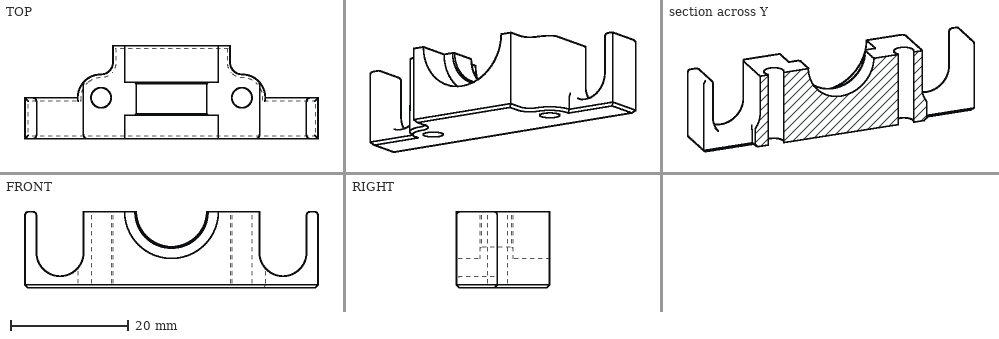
import cadquery as cq
import math

length = 50.0
depth = 15.9
height = 13.0

arm_depth = 7.0
arm_wall = 2.0
slot_radius = 4.0
slot_floor = 2.0
slot_x = length / 2 - arm_wall - slot_radius
slot_center_z = slot_floor + slot_radius
edge_fillet = 0.7

hole_diameter = 3.4
hole_x = 12.0
hole_y = arm_depth
ear_radius = 4.0

housing_half_width = 10.0
blend_radius = hole_x - housing_half_width
blend_y = hole_y + ear_radius + blend_radius

seat_radius = 8.0
rib_bore_radius = 6.0
rib_front = 4.0
rib_back = 9.6
rib_chamfer = 0.25

base_chamfer = 0.5

SIDES = (-1, 1)

margin = 0.1


def arc_middle(center_x, center_y, radius, angle):
    """Point on a circle at the given angle in degrees."""
    turn = math.radians(angle)
    return (center_x + radius * math.cos(turn), center_y + radius * math.sin(turn))


def make_body():
    """Plan outline of arms, ears and rear housing, with the bottom edge chamfered."""
    half = length / 2
    ear_middle = arc_middle(hole_x, hole_y, ear_radius, 45)
    blend_middle = arc_middle(hole_x, blend_y, blend_radius, 225)
    right_half = (
        cq.Workplane("XY")
        .moveTo(0, 0)
        .lineTo(half, 0)
        .lineTo(half, arm_depth)
        .lineTo(hole_x + ear_radius, arm_depth)
        .threePointArc(ear_middle, (hole_x, hole_y + ear_radius))
        .threePointArc(blend_middle, (housing_half_width, blend_y))
        .lineTo(housing_half_width, depth)
        .lineTo(0, depth)
        .close()
        .extrude(height)
    )
    body = right_half.union(right_half.mirror("YZ")).clean()
    return body.faces("<Z").chamfer(base_chamfer)


def make_slot(side):
    """U-shaped cutter, open at the top and running through the full depth."""
    x = side * slot_x
    return (
        cq.Workplane("XZ")
        .moveTo(x - slot_radius, height)
        .lineTo(x - slot_radius, slot_center_z)
        .threePointArc((x, slot_floor), (x + slot_radius, slot_center_z))
        .lineTo(x + slot_radius, height)
        .close()
        .extrude(-depth)
    )


def round_arm_edges(body, side):
    """Round the slot rim, including its run along the ear, and the top of the arm."""
    inner_x = slot_x - slot_radius
    arm_x = slot_x + slot_radius
    along_y = cq.selectors.ParallelDirSelector(cq.Vector(0, 1, 0))
    slot_and_arm = cq.selectors.BoxSelector(
        (side * (inner_x - margin), -margin, slot_floor),
        (side * (length / 2 - margin), depth, height + margin),
    )
    arm_top = cq.selectors.BoxSelector(
        (side * (arm_x - margin), -margin, height - margin),
        (side * (length / 2 + margin), depth, height + margin),
    )
    rim_edges = slot_and_arm - along_y
    top_edges = arm_top & along_y
    return body.edges(rim_edges + top_edges).fillet(edge_fillet)


def make_seat_cutter():
    """Stepped round cutter turned about the Y axis that lies in the top face."""
    mouth_radius = rib_bore_radius + rib_chamfer
    return (
        cq.Workplane("XY", origin=(0, 0, height))
        .moveTo(0, 0)
        .lineTo(seat_radius, 0)
        .lineTo(seat_radius, rib_front)
        .lineTo(mouth_radius, rib_front)
        .lineTo(rib_bore_radius, rib_front + rib_chamfer)
        .lineTo(rib_bore_radius, rib_back - rib_chamfer)
        .lineTo(mouth_radius, rib_back)
        .lineTo(seat_radius, rib_back)
        .lineTo(seat_radius, depth)
        .lineTo(0, depth)
        .close()
        .revolve(360, (0, 0, 0), (0, 1, 0))
    )


def make_screw_hole(side):
    """Vertical clearance hole through one ear."""
    return (
        cq.Workplane("XY")
        .center(side * hole_x, hole_y)
        .circle(hole_diameter / 2)
        .extrude(height)
    )


result = make_body()
for side in SIDES:
    result = result.cut(make_slot(side))
    result = round_arm_edges(result, side)
    result = result.cut(make_screw_hole(side))
result = result.cut(make_seat_cutter())